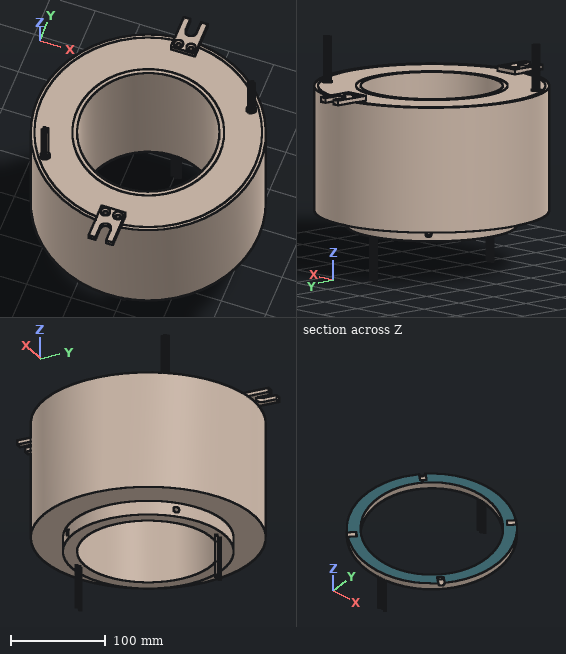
import cadquery as cq
import math

flange_height = 16.0
body_height = 134.0
body_top = flange_height + body_height

body_radius = 124.0
rim_inner_radius = 120.0
tube_outer_radius = 80.0
bore_radius = 75.0
fill_recess = 0.2

flange_radius = 90.0
flange_hole_diameter = 6.4
flange_hole_depth = 10.0
flange_hole_angles = (45, 135, 225, 315)

lug_width = 27.0
lug_length = 40.0
lug_thickness = 5.0
lug_tip_y = 147.0
lug_inner_y = lug_tip_y - lug_length
lug_slot_width = 12.0
lug_slot_length = 20.5
lug_hole_spacing = 14.0
lug_hole_inset = 6.0
lug_hole_diameter = 5.0
lug_hole_depth = 15.0
drill_point_angle = 118.0
countersink_diameter = 10.0
countersink_angle = 90.0

strand_diameter = 2.2
bundle_ring_count = 5
bundle_ring_radius = 2.8
bundle_distance = 112.5
bundle_angle = 35.0
bundle_length = 48.0
bundle_hole_diameter = 10.0
bundle_hole_depth = 5.0

row_length = 49.0
row_strand_positions = ((-5.5, -82.2), (-1.6, -81.0), (2.75, -82.6))


def cylinder(radius, height, x, y, z):
    return cq.Workplane("XY", origin=(x, y, z)).circle(radius).extrude(height)


def half_turn(shape):
    """Copy turned to the opposite side of the part's axis."""
    return shape.rotate((0, 0, 0), (0, 0, 1), 180)


def make_body():
    body = cylinder(flange_radius, flange_height, 0, 0, 0)
    body = body.union(cylinder(body_radius, body_height, 0, 0, flange_height))
    fill_gap = (
        cq.Workplane("XY", origin=(0, 0, body_top - fill_recess))
        .circle(rim_inner_radius)
        .circle(tube_outer_radius)
        .extrude(fill_recess)
    )
    bore = cylinder(bore_radius, body_top, 0, 0, 0)
    return body.cut(fill_gap).cut(bore)


def make_flange_hole(angle):
    """Blind radial hole at mid-height of the flange."""
    hole = (
        cq.Workplane("YZ", origin=(flange_radius - flange_hole_depth, 0, flange_height / 2))
        .circle(flange_hole_diameter / 2)
        .extrude(2 * flange_hole_depth)
    )
    return hole.rotate((0, 0, 0), (0, 0, 1), angle)


def make_lug():
    """Forked lug pointing along +Y, seated on the fill between rim and tube."""
    slot_end_y = lug_tip_y - lug_slot_length + lug_slot_width / 2
    base_z = body_top - fill_recess
    lug = (
        cq.Workplane("XY", origin=(0, 0, body_top))
        .center(0, lug_inner_y + lug_length / 2)
        .rect(lug_width, lug_length)
        .extrude(lug_thickness)
    )
    seat_length = rim_inner_radius - lug_inner_y
    seat = (
        cq.Workplane("XY", origin=(0, lug_inner_y + seat_length / 2, base_z))
        .rect(lug_width, seat_length)
        .extrude(lug_thickness)
    )
    slot = (
        cq.Workplane("XY", origin=(0, 0, body_top))
        .moveTo(-lug_slot_width / 2, lug_tip_y)
        .lineTo(-lug_slot_width / 2, slot_end_y)
        .threePointArc((0, slot_end_y - lug_slot_width / 2), (lug_slot_width / 2, slot_end_y))
        .lineTo(lug_slot_width / 2, lug_tip_y)
        .close()
        .extrude(lug_thickness)
    )
    return lug.union(seat).cut(slot)


def make_lug_hole(x):
    """Countersunk blind hole with a drill point, through the lug into the body."""
    hole_radius = lug_hole_diameter / 2
    sink_radius = countersink_diameter / 2
    sink_depth = (sink_radius - hole_radius) / math.tan(math.radians(countersink_angle / 2))
    point_depth = hole_radius / math.tan(math.radians(drill_point_angle / 2))
    profile = [
        (0, 0),
        (sink_radius, 0),
        (hole_radius, -sink_depth),
        (hole_radius, -lug_hole_depth),
        (0, -lug_hole_depth - point_depth),
    ]
    hole = cq.Workplane("XZ").polyline(profile).close().revolve(360, (0, 0), (0, 1))
    return hole.translate((x, lug_inner_y + lug_hole_inset, body_top + lug_thickness))


def bundle_center():
    angle = math.radians(bundle_angle)
    return bundle_distance * math.cos(angle), bundle_distance * math.sin(angle)


def make_bundle():
    """Strands standing on the floor of the bundle hole, one ring strand towards +Y."""
    x, y = bundle_center()
    floor_z = body_top - bundle_hole_depth
    height = bundle_length + bundle_hole_depth
    radius = strand_diameter / 2
    bundle = cylinder(radius, height, x, y, floor_z)
    for i in range(bundle_ring_count):
        angle = math.radians(90 + i * 360 / bundle_ring_count)
        strand_x = x + bundle_ring_radius * math.cos(angle)
        strand_y = y + bundle_ring_radius * math.sin(angle)
        bundle = bundle.add(cylinder(radius, height, strand_x, strand_y, floor_z))
    return bundle


def make_wire_row():
    """Strands hanging from the flange underside on the -Y side."""
    row = cq.Workplane("XY")
    for x, y in row_strand_positions:
        row = row.add(cylinder(strand_diameter / 2, row_length, x, y, -row_length))
    return row


result = make_body()
for hole_angle in flange_hole_angles:
    result = result.cut(make_flange_hole(hole_angle))

one_lug = make_lug()
result = result.union(one_lug).union(half_turn(one_lug))
for hole_x in (-lug_hole_spacing / 2, lug_hole_spacing / 2):
    lug_hole = make_lug_hole(hole_x)
    result = result.cut(lug_hole).cut(half_turn(lug_hole))

bundle_x, bundle_y = bundle_center()
bundle_hole = cylinder(
    bundle_hole_diameter / 2, bundle_hole_depth, bundle_x, bundle_y, body_top - bundle_hole_depth
)
result = result.cut(bundle_hole).cut(half_turn(bundle_hole))

for strand in make_bundle().vals() + make_wire_row().vals():
    wire = cq.Workplane(strand)
    result = result.union(wire).union(half_turn(wire))